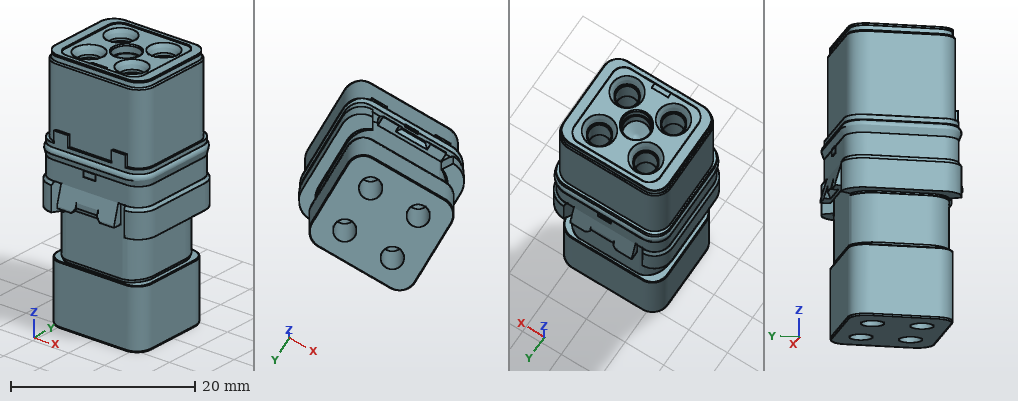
import cadquery as cq
import math


total_height = 32.65
cap_height = 8.0
lip_bottom = 13.88
skirt_bottom = 14.08
latch_bottom = 15.05
skirt_shoulder = 17.35
cavity_top = 17.77
groove_bottom = 20.28
seal_widest = 21.1
groove_top = 21.75
collar_top = 22.3
lug_top = 23.8
block_shoulder = 31.68
cove_bottom = 31.88
rim_bottom = 32.43

block_size = (13.98, 12.02, 2.1)
collar_size = (14.45, 12.67, 2.1)
skirt_size = (15.0, 13.33, 2.42)
lip_size = (12.28, 11.3, 2.6)
rim_inset = 0.23
cove_bottom_inset = 0.15
cove_top_inset = 0.33
skirt_step = 0.3
lug_inner = 3.05
lug_outer = 5.0
tab_length = 1.65
tab_height = 0.8
tab_projection = 0.1

window_half_outer = 5.1
window_half_inner = 4.3
latch_half_length = 4.0
latch_back = 5.95
latch_tip = 7.05
latch_lip_height = 0.25
notch_half_top = 1.5
notch_half_bottom = 2.0
notch_wall = 6.75
notch_back = 6.35
notch_bend = 15.68

seal_size = (14.83, 13.4, 2.5)
seal_groove_depth = 0.5
seal_round = 0.62

insert_size = (11.1, 10.45, 1.45)
insert_recess = 0.15
insert_thickness = 3.92
insert_face = total_height - insert_recess
key_length = 2.12
key_width = 0.6

hole_pitch_x = 6.0
hole_pitch_y = 5.5
hole_radius = 1.27
mouth_radii = (1.93, 1.63, 1.4)
mouth_depths = (0.45, 0.98, 1.3)
socket_rim_radius = 1.83
socket_radius = 1.7
socket_bore_radius = 1.55
socket_rim_depth = 0.15
socket_step_depth = 1.0
socket_bore_depth = 2.3
socket_cone_depth = 0.88

neck_half_length = 6.0
neck_pad_half_width = 5.55
neck_pad_half_length = 3.95
neck_corner_x = 4.47
neck_corner_y = 5.4
neck_side_half_width = 2.75
neck_taper_height = 0.35
neck_taper_inset = 0.13

cap_size = (13.1, 11.6, 2.0)
cap_top_chamfer = 0.1
cap_bottom_chamfer_height = 0.2
cap_bottom_chamfer_inset = 0.1


def shrunk(size, inset):
    """Plan size moved inward on every side by the inset."""
    length, width, radius = size
    return (length - 2 * inset, width - 2 * inset, radius - inset)


def rounded_wire(size, z):
    """Closed rounded rectangle, centred on the Z axis at height z."""
    length, width, radius = size
    plan = cq.Workplane("XY").sketch().rect(length, width).vertices().fillet(radius).finalize()
    return plan.extrude(0.33).faces("<Z").val().outerWire().translate(cq.Vector(0, 0, z))


def prism(size, bottom, top):
    """Upright block with rounded corners."""
    length, width, radius = size
    block = cq.Workplane("XY").workplane(offset=bottom).rect(length, width).extrude(top - bottom)
    return block.edges("|Z").fillet(radius)


def taper(lower_size, bottom, upper_size, top):
    """Solid that blends from one rounded rectangle to another."""
    wires = [rounded_wire(lower_size, bottom), rounded_wire(upper_size, top)]
    return cq.Workplane(cq.Solid.makeLoft(wires, True))


def box(x_min, x_max, y_min, y_max, z_min, z_max):
    """Axis-aligned box between the given limits."""
    solid = cq.Workplane("XY").box(x_max - x_min, y_max - y_min, z_max - z_min, centered=False)
    return solid.translate((x_min, y_min, z_min))


def on_both_sides(front):
    """The -Y feature together with its copy turned to the +Y side."""
    return front.union(front.rotate((0, 0, 0), (0, 0, 1), 180))


def contact_bores():
    """The four contact holes, running through the full height."""
    bores = cq.Workplane("XY").rect(hole_pitch_x, hole_pitch_y, forConstruction=True).vertices()
    return bores.circle(hole_radius).extrude(total_height)


def neck_outline():
    """Neck section at the top of its taper: flat pads on +-Y and large corner arcs."""
    drop = neck_corner_y - neck_side_half_width
    run = neck_half_length - neck_corner_x
    corner_radius = (run**2 + drop**2) / (2 * run)
    half_angle = math.asin(drop / corner_radius) / 2
    arc_x = neck_half_length - corner_radius * (1 - math.cos(half_angle))
    arc_y = neck_side_half_width + corner_radius * math.sin(half_angle)
    return (
        cq.Workplane("XY")
        .workplane(offset=cap_height + neck_taper_height)
        .moveTo(neck_pad_half_length, -neck_pad_half_width)
        .lineTo(neck_corner_x, -neck_corner_y)
        .threePointArc((arc_x, -arc_y), (neck_half_length, -neck_side_half_width))
        .lineTo(neck_half_length, neck_side_half_width)
        .threePointArc((arc_x, arc_y), (neck_corner_x, neck_corner_y))
        .lineTo(neck_pad_half_length, neck_pad_half_width)
        .lineTo(-neck_pad_half_length, neck_pad_half_width)
        .lineTo(-neck_corner_x, neck_corner_y)
        .threePointArc((-arc_x, arc_y), (-neck_half_length, neck_side_half_width))
        .lineTo(-neck_half_length, -neck_side_half_width)
        .threePointArc((-arc_x, -arc_y), (-neck_corner_x, -neck_corner_y))
        .lineTo(-neck_pad_half_length, -neck_pad_half_width)
        .close()
    )


def neck_body():
    """Upright neck that narrows slightly where it meets the end cap."""
    slab = neck_outline().extrude(cavity_top - cap_height - neck_taper_height)
    taper_angle = math.degrees(math.atan(neck_taper_inset / neck_taper_height))
    return slab.union(neck_outline().extrude(-neck_taper_height, taper=taper_angle))


def cap_body():
    """End cap, with its top and bottom rims broken."""
    cap = prism(cap_size, 0, cap_height)
    cap = cap.faces(">Z").chamfer(cap_top_chamfer)
    return cap.faces("<Z").chamfer(cap_bottom_chamfer_height, cap_bottom_chamfer_inset)


def insert_body():
    """Insert block, with a key slot in its -Y edge."""
    block = prism(insert_size, insert_face - insert_thickness, insert_face)
    edge = -insert_size[1] / 2
    slot = box(-key_length / 2, key_length / 2, edge, edge + key_width,
               insert_face - insert_thickness, insert_face)
    return block.cut(slot)


def contact_mouth(x, y):
    """Two-stage funnel and ledge at the top of one contact hole."""
    profile = [(0, 0), (mouth_radii[0], 0)]
    profile.append((mouth_radii[1], -mouth_depths[0]))
    profile.append((mouth_radii[2], -mouth_depths[1]))
    profile.append((mouth_radii[2], -mouth_depths[2]))
    profile.append((0, -mouth_depths[2]))
    funnel = cq.Workplane("XZ").polyline(profile).close().revolve(360, (0, 0, 0), (0, 1, 0))
    return funnel.translate((x, y, insert_face))


def centre_socket():
    """Blind stepped socket with a conical floor."""
    profile = [
        (0, 0),
        (socket_rim_radius, 0),
        (socket_radius, -socket_rim_depth),
        (socket_radius, -socket_step_depth),
        (socket_bore_radius, -socket_step_depth),
        (socket_bore_radius, -socket_bore_depth),
        (0, -socket_bore_depth - socket_cone_depth),
    ]
    socket = cq.Workplane("XZ").polyline(profile).close().revolve(360, (0, 0, 0), (0, 1, 0))
    return socket.translate((0, 0, insert_face))


def seal_outer():
    """Seal bulge, widening upward and rounded over at the top."""
    lower = taper(collar_size, groove_bottom, seal_size, seal_widest)
    upper = prism(seal_size, seal_widest, groove_top).faces(">Z").edges().fillet(seal_round)
    return lower.union(upper)


def seal_core():
    """Solid left inside the seal groove."""
    return prism(shrunk(collar_size, seal_groove_depth), groove_bottom, groove_top)


def housing_shell():
    """Stack of the skirt, collar and upper block, with the rim on top."""
    shell = prism(lip_size, lip_bottom, skirt_bottom)
    shell = shell.union(prism(skirt_size, skirt_bottom, skirt_shoulder))
    shell = shell.union(taper(skirt_size, skirt_shoulder, shrunk(skirt_size, skirt_step), cavity_top))
    shell = shell.union(prism(collar_size, cavity_top, groove_bottom))
    shell = shell.union(seal_core())
    shell = shell.union(prism(collar_size, groove_top, collar_top))
    shell = shell.union(prism(block_size, collar_top, block_shoulder))
    cove_lower = shrunk(block_size, cove_bottom_inset)
    cove_upper = shrunk(block_size, cove_top_inset)
    shell = shell.union(taper(block_size, block_shoulder, cove_lower, cove_bottom))
    shell = shell.union(taper(cove_lower, cove_bottom, cove_upper, rim_bottom))
    return shell.union(prism(shrunk(block_size, rim_inset), rim_bottom, total_height))


def window():
    """Opening in the -Y side of the skirt, flaring outward."""
    outer = -skirt_size[1] / 2
    inner = -neck_corner_y
    plan = [
        (-window_half_outer, outer),
        (window_half_outer, outer),
        (window_half_inner, inner),
        (-window_half_inner, inner),
    ]
    return (
        cq.Workplane("XY").workplane(offset=lip_bottom).polyline(plan).close()
        .extrude(cavity_top - lip_bottom)
    )


def latch():
    """Wedge-shaped latch on the -Y side, notched at the middle of its tip."""
    hinge = collar_size[1] / 2
    lip_top = latch_bottom + latch_lip_height
    side = [
        (-latch_back, cavity_top),
        (-hinge, cavity_top),
        (-latch_tip, lip_top),
        (-latch_tip, latch_bottom),
        (-latch_back, latch_bottom),
    ]
    wedge = (
        cq.Workplane("YZ").workplane(offset=-latch_half_length).polyline(side).close()
        .extrude(2 * latch_half_length)
    )
    straight = box(-notch_half_top, notch_half_top, -latch_tip, -notch_wall, notch_bend, cavity_top)
    undercut_side = [
        (-latch_tip, notch_bend),
        (-notch_wall, notch_bend),
        (-notch_back, latch_bottom),
        (-latch_tip, latch_bottom),
    ]
    undercut = (
        cq.Workplane("YZ").workplane(offset=-notch_half_bottom).polyline(undercut_side).close()
        .extrude(2 * notch_half_bottom)
    )
    flare_front = [
        (-notch_half_bottom, latch_bottom),
        (notch_half_bottom, latch_bottom),
        (notch_half_top, notch_bend),
        (-notch_half_top, notch_bend),
    ]
    flare = cq.Workplane("XZ").polyline(flare_front).close().extrude(latch_tip)
    return wedge.cut(straight).cut(undercut.intersect(flare))


def lugs():
    """Two polarising lugs that rise from the -Y side of the collar."""
    outer = -collar_size[1] / 2
    inner = -block_size[1] / 2 + block_size[2]
    right = box(lug_inner, lug_outer, outer, inner, collar_top, lug_top)
    return right.union(right.mirror("YZ"))


def tab():
    """Small raised tab under the seal on the -Y side."""
    face = -collar_size[1] / 2
    return box(-tab_length / 2, tab_length / 2, face - tab_projection, 0,
               groove_bottom - tab_height, groove_bottom)


bores = contact_bores()

end_cap = cap_body().cut(bores)

neck = neck_body().cut(bores)

contact_insert = insert_body().cut(bores).cut(centre_socket())
for x_side in (-1, 1):
    for y_side in (-1, 1):
        mouth = contact_mouth(x_side * hole_pitch_x / 2, y_side * hole_pitch_y / 2)
        contact_insert = contact_insert.cut(mouth)

seal_ring = seal_outer().cut(seal_core())

housing = housing_shell().union(lugs()).union(on_both_sides(tab()))
housing = housing.cut(on_both_sides(window())).union(on_both_sides(latch()))
housing = housing.cut(neck_body())
housing = housing.cut(prism(insert_size, insert_face - insert_thickness, total_height))
key_edge = -insert_size[1] / 2
key = box(-key_length / 2, key_length / 2, key_edge, key_edge + key_width,
          insert_face - insert_thickness, insert_face)
housing = housing.union(key).cut(bores)

result = cq.Compound.makeCompound([
    housing.val(),
    seal_ring.val(),
    contact_insert.val(),
    neck.val(),
    end_cap.val(),
])